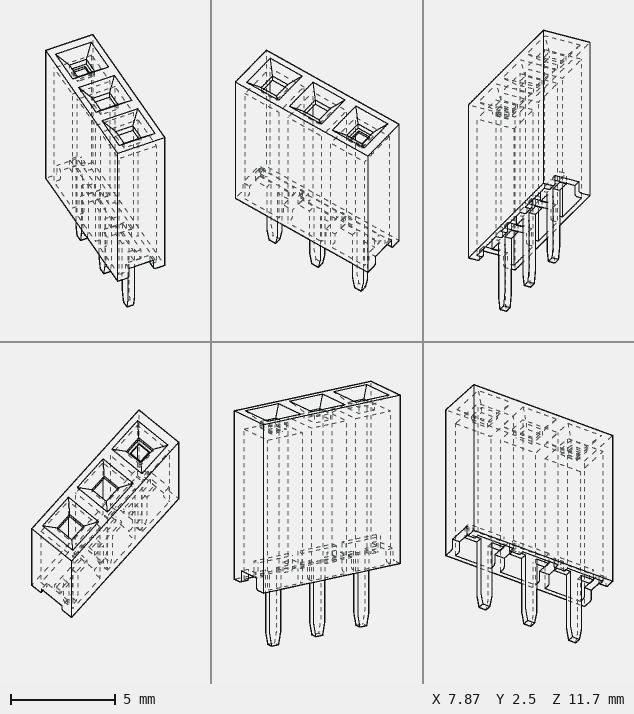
import cadquery as cq


overall_height = 11.7
body_length = 7.87
body_width = 2.5
body_height = 8.5
pitch = 2.54
way_positions = [-pitch, 0, pitch]

notch_width = 1.29
notch_depth = 0.6
notch_edge_radius = 0.13

mouth_size = 1.9
neck_size = 0.9
funnel_depth = (mouth_size - neck_size) / 2
neck_depth = 0.3
cavity_size = 2.0

collar_opening = 0.64
collar_thickness = 0.13

pin_width = 0.64
pin_thickness = 0.35
pin_tip_width = 0.4
pin_taper_height = 0.65
pin_projection = overall_height - body_height
crossbar_height = 0.58
crossbar_drop = 0.04

neck_top = body_height - funnel_depth
cavity_top = neck_top - neck_depth


def square_prism(size, bottom, top):
    """Square block centred on the Z axis between two heights."""
    return cq.Workplane("XY").workplane(offset=bottom).rect(size, size).extrude(top - bottom)


def make_housing():
    block = cq.Workplane("XY").box(body_length, body_width, body_height, centered=(True, True, False))
    notch = cq.Workplane("XY").box(body_length, notch_width, notch_depth, centered=(True, True, False))
    inner_edges = cq.selectors.BoxSelector(
        (-body_length, -notch_width / 2 - notch_edge_radius, -notch_edge_radius),
        (body_length, notch_width / 2 + notch_edge_radius, notch_edge_radius),
    )
    return block.cut(notch).edges("|X").edges(inner_edges).fillet(notch_edge_radius)


def make_socket():
    """Empty space of one socket, on the Z axis."""
    funnel = (
        cq.Workplane("XY")
        .workplane(offset=neck_top)
        .rect(neck_size, neck_size)
        .workplane(offset=funnel_depth)
        .rect(mouth_size, mouth_size)
        .loft(ruled=True)
    )
    neck = square_prism(neck_size, cavity_top, neck_top)
    cavity = square_prism(cavity_size, 0, cavity_top)
    return funnel.union(neck).union(cavity)


def make_collar():
    """Square ring at the top of the cavity, on the Z axis."""
    collar_bottom = cavity_top - collar_thickness
    ring = square_prism(cavity_size, collar_bottom, cavity_top)
    return ring.cut(square_prism(collar_opening, collar_bottom, cavity_top))


def make_pin():
    """One pin with its crossbar, on the Z axis."""
    crossbar_bottom = notch_depth - crossbar_drop
    crossbar_top = crossbar_bottom + crossbar_height
    taper_start = pin_taper_height - pin_projection
    outline = [
        (cavity_size / 2, crossbar_top),
        (cavity_size / 2, crossbar_bottom),
        (pin_width / 2, crossbar_bottom),
        (pin_width / 2, taper_start),
        (pin_tip_width / 2, -pin_projection),
    ]
    mirrored = [(-x, z) for x, z in reversed(outline)]
    return cq.Workplane("XZ").polyline(outline + mirrored).close().extrude(pin_thickness / 2, both=True)


socket = make_socket()
pin = make_pin()

result = make_housing()
for x in way_positions:
    result = result.cut(socket.translate((x, 0, 0)))
    result = result.union(pin.translate((x, 0, 0)))
result = result.union(make_collar().translate((way_positions[0], 0, 0)))